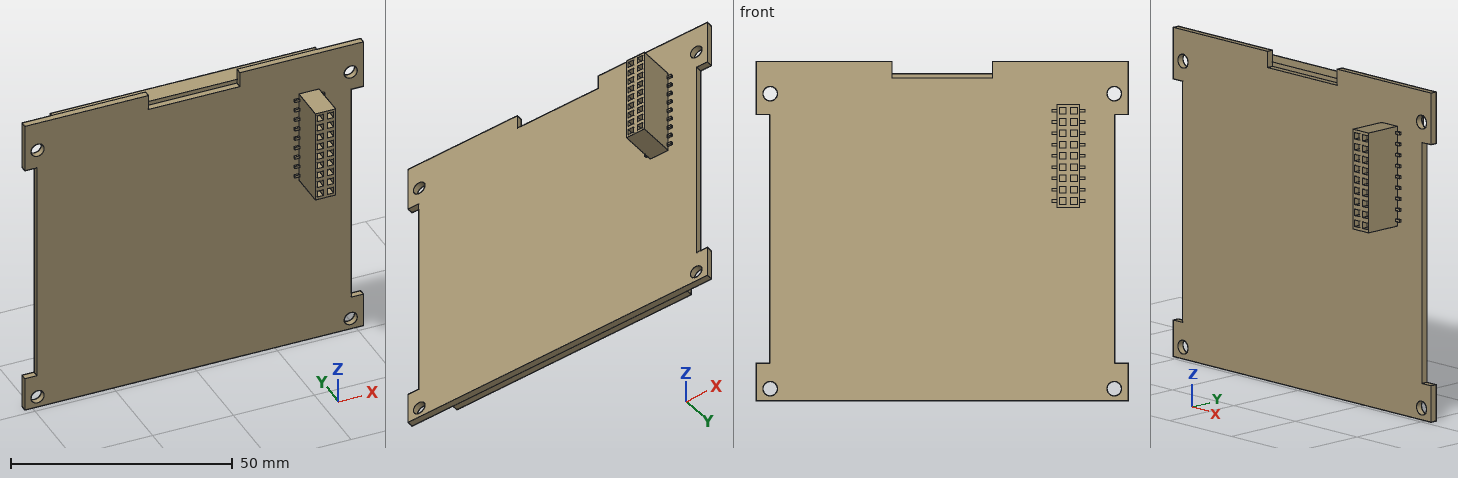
import cadquery as cq

board_width = 83.8
board_height = 76.5
board_thickness = 1.6
side_recess_depth = 3.0
lower_ear_height = 8.5
upper_ear_height = 12.0
notch_width = 22.6
notch_depth = 3.75

hole_diameter = 3.2
hole_side_inset = 3.15
lower_hole_inset = 2.75
upper_hole_inset = 7.3

display_width = 65.6
display_thickness = 4.7
display_top_inset = 2.75
display_bottom_inset = 3.5
display_height = board_height - display_top_inset - display_bottom_inset

row_count = 9
pitch = 2.54
header_width = 5.0
header_length = 23.2
header_depth = 9.0
header_center_x = 28.4
header_center_z = 55.2
socket_size = 1.5
socket_depth = 6.0

lead_span = 7.4
lead_height = 0.6
lead_thickness = 0.5


def box(width, depth, height, x_center, y_front, z_center):
    """Box centred in X and Z, reaching back (+Y) from its front face."""
    return (
        cq.Workplane("XY")
        .box(width, depth, height, centered=(True, False, True))
        .translate((x_center, y_front, z_center))
    )


def make_board():
    board = box(board_width, board_thickness, board_height, 0, 0, board_height / 2)

    recess_height = board_height - lower_ear_height - upper_ear_height
    recess_center_z = lower_ear_height + recess_height / 2
    for side in (-1, 1):
        recess = box(2 * side_recess_depth, board_thickness, recess_height,
                     side * board_width / 2, 0, recess_center_z)
        board = board.cut(recess)

    notch = box(notch_width, board_thickness, 2 * notch_depth, 0, 0, board_height)
    board = board.cut(notch)

    hole_x = board_width / 2 - hole_side_inset
    hole_points = [
        (x, z)
        for x in (-hole_x, hole_x)
        for z in (lower_hole_inset, board_height - upper_hole_inset)
    ]
    holes = (
        cq.Workplane("XZ")
        .pushPoints(hole_points)
        .circle(hole_diameter / 2)
        .extrude(-board_thickness)
    )
    return board.cut(holes)


def make_display():
    center_z = display_bottom_inset + display_height / 2
    return box(display_width, display_thickness, display_height, 0, board_thickness, center_z)


def make_header():
    header = box(header_width, header_depth, header_length,
                 header_center_x, -header_depth, header_center_z)
    for row in range(row_count):
        row_z = header_center_z + (row - (row_count - 1) / 2) * pitch
        lead_pair = box(lead_span, lead_thickness, lead_height,
                        header_center_x, -lead_thickness, row_z)
        header = header.union(lead_pair)
        for side in (-1, 1):
            socket = box(socket_size, socket_depth, socket_size,
                         header_center_x + side * pitch / 2, -header_depth, row_z)
            header = header.cut(socket)
    return header


board = make_board()
display = make_display()
header = make_header()

result = cq.Compound.makeCompound([board.val(), display.val(), header.val()])